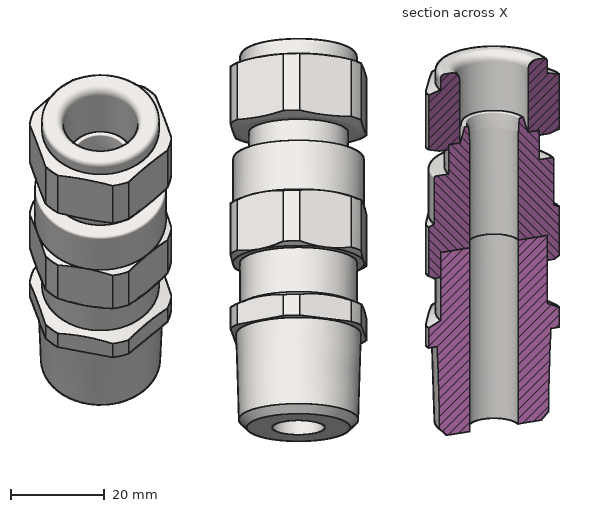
import cadquery as cq
import math



ACROSS_FLATS = 28.0
CORNER_RADIUS = 15.25

COLLAR_RADIUS = 12.5
NECK_RADIUS = 10.6
SLEEVE_RADIUS = ACROSS_FLATS / 2

THREAD_TOP = 20.65
ENTRY_HEX_TOP = 26.6
MIDDLE_HEX_BOTTOM = 36.4
MIDDLE_HEX_TOP = 48.9
SLEEVE_TOP = 59.85
NUT_BOTTOM = 65.3
NUT_HEX_TOP = 79.3
TOTAL_HEIGHT = 82.9

PASSAGE_RADIUS = 5.6

THREAD_TOP_RADIUS = 13.35
THREAD_END_RADIUS = 12.8
THREAD_CHAMFER = 1.7
ENTRY_HEX_ANGLE = 26
SOCKET_DEPTH = 5.8
COLLAR_TOP = MIDDLE_HEX_BOTTOM + SOCKET_DEPTH

MIDDLE_HEX_TOP_ANGLE = 25
MIDDLE_HEX_BOTTOM_ANGLE = 30
SLEEVE_EDGE = 0.6
NECK_ENGAGEMENT = 1.25
NECK_TOP = NUT_BOTTOM + NECK_ENGAGEMENT
NOSE_HEIGHT = 3.5
NOSE_TOP = NECK_TOP + NOSE_HEIGHT
NOSE_TOP_RADIUS = 6.9
NOSE_MOUTH_RADIUS = 5.9
NOSE_EDGE = 0.25

NUT_HEX_ANGLE = 16
NUT_BEVEL_RADIUS = 12.8
CAP_EDGE = 1.1
NUT_BORE_RADIUS = 7.95
MOUTH_ROUND = 2.0


def bevel_drop(inner_radius, angle):
    """Height lost by a bevel running from inner_radius out to the hexagon corners."""
    return (CORNER_RADIUS - inner_radius) * math.tan(math.radians(angle))


def cylinder(radius, bottom, top):
    return cq.Workplane("XY").workplane(offset=bottom).circle(radius).extrude(top - bottom)


def revolved(points):
    """Solid of revolution about Z from (radius, height) points."""
    return cq.Workplane("XZ").polyline(points).close().revolve(360, (0, 0), (0, 1))


def hexagon(bottom, top, top_bevel, bottom_bevel=None):
    """Hexagon with flats facing +X and -X, trimmed to round corners.

    Each bevel is an (inner radius, angle) pair; without a bottom bevel that end stays square.
    """
    prism = (
        cq.Workplane("XY")
        .workplane(offset=bottom)
        .polygon(6, ACROSS_FLATS, circumscribed=True)
        .extrude(top - bottom)
    )
    outline = [(0, top), (top_bevel[0], top), (CORNER_RADIUS, top - bevel_drop(*top_bevel))]
    if bottom_bevel:
        outline += [(CORNER_RADIUS, bottom + bevel_drop(*bottom_bevel)), (bottom_bevel[0], bottom)]
    else:
        outline += [(CORNER_RADIUS, bottom)]
    outline += [(0, bottom)]
    return prism.intersect(revolved(outline))


def make_entry_body():
    thread = revolved([
        (0, 0),
        (THREAD_END_RADIUS - THREAD_CHAMFER, 0),
        (THREAD_END_RADIUS, THREAD_CHAMFER),
        (THREAD_TOP_RADIUS, THREAD_TOP),
        (0, THREAD_TOP),
    ])
    flange = hexagon(THREAD_TOP, ENTRY_HEX_TOP, (COLLAR_RADIUS, ENTRY_HEX_ANGLE))
    collar = cylinder(COLLAR_RADIUS, ENTRY_HEX_TOP, COLLAR_TOP)
    passage = cylinder(PASSAGE_RADIUS, 0, COLLAR_TOP)
    return thread.union(flange).union(collar).cut(passage)


def make_middle_body():
    grip = hexagon(
        MIDDLE_HEX_BOTTOM,
        MIDDLE_HEX_TOP,
        (SLEEVE_RADIUS, MIDDLE_HEX_TOP_ANGLE),
        (SLEEVE_RADIUS, MIDDLE_HEX_BOTTOM_ANGLE),
    )
    sleeve = cylinder(SLEEVE_RADIUS, MIDDLE_HEX_TOP, SLEEVE_TOP).faces(">Z").edges().fillet(SLEEVE_EDGE)
    neck = cylinder(NECK_RADIUS, SLEEVE_TOP, NECK_TOP)

    nose = revolved([
        (0, NECK_TOP),
        (NUT_BORE_RADIUS, NECK_TOP),
        (NOSE_TOP_RADIUS, NOSE_TOP),
        (0, NOSE_TOP),
    ])
    mouth = revolved([
        (0, NECK_TOP),
        (PASSAGE_RADIUS, NECK_TOP),
        (NOSE_MOUTH_RADIUS, NOSE_TOP),
        (0, NOSE_TOP),
    ])
    nose = nose.cut(mouth).faces(">Z").edges().fillet(NOSE_EDGE)

    passage = cylinder(PASSAGE_RADIUS, MIDDLE_HEX_BOTTOM, NECK_TOP)
    socket = cylinder(COLLAR_RADIUS, MIDDLE_HEX_BOTTOM, COLLAR_TOP)
    return grip.union(sleeve).union(neck).cut(passage).cut(socket).union(nose)


def make_gland_nut():
    bevel = (NUT_BEVEL_RADIUS, NUT_HEX_ANGLE)
    grip = hexagon(NUT_BOTTOM, NUT_HEX_TOP, bevel, bevel)
    cap = cylinder(COLLAR_RADIUS, NUT_HEX_TOP, TOTAL_HEIGHT).faces(">Z").edges().fillet(CAP_EDGE)
    bore = cylinder(NUT_BORE_RADIUS, NUT_BOTTOM, TOTAL_HEIGHT)
    neck_recess = cylinder(NECK_RADIUS, NUT_BOTTOM, NECK_TOP)
    nut = grip.union(cap).cut(bore)
    nut = nut.faces(">Z").edges(cq.selectors.RadiusNthSelector(0)).fillet(MOUTH_ROUND)
    return nut.cut(neck_recess)


entry_body = make_entry_body()
middle_body = make_middle_body()
gland_nut = make_gland_nut()

result = cq.Compound.makeCompound([
    entry_body.solids().val(),
    middle_body.solids().val(),
    gland_nut.solids().val(),
])